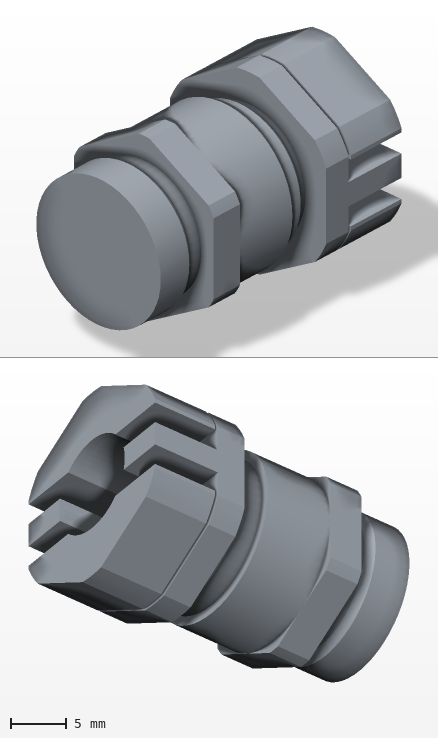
import cadquery as cq
import math

length = 29.9
front_y = -length / 2

front_thread_length = 3.8
chamfer_length = 0.75
front_neck_length = 1.5
hex_length = 3.5
sleeve_length = 6.97
rear_thread_length = 2.1
rear_neck_length = 0.55
nut_plate_length = 3.0
jaw_gap = 0.3

thread_radius = 7.55
neck_radius = 6.95
hex_sides = 6
hex_width = 16.95
hex_corner_diameter = 18.9
sleeve_radius = hex_width / 2
nut_width = 19.0
nut_corner_diameter = 20.5

clamp_bore_radius = 4.93
tab_thickness = 2.5
jaw_separation = 6.88

hex_y = front_y + front_thread_length + chamfer_length + front_neck_length
sleeve_y = hex_y + hex_length
rear_spigot_y = sleeve_y + sleeve_length
nut_y = rear_spigot_y + rear_thread_length + chamfer_length + rear_neck_length
clamp_y = nut_y + nut_plate_length
rear_y = length / 2


def cylinder(radius, start, end):
    """Cylinder on the Y axis between two positions."""
    plane = cq.Workplane("XZ", origin=(0, start, 0))
    return plane.circle(radius).extrude(start - end)


def rounded_hexagon(width, corner_diameter, start, end):
    """Hexagonal prism with flats facing X and corners turned to a diameter."""
    vertex_diameter = width / math.cos(math.pi / hex_sides)
    prism = (
        cq.Workplane("XZ", origin=(0, start, 0))
        .transformed(rotate=(0, 0, 180 / hex_sides))
        .polygon(hex_sides, vertex_diameter)
        .extrude(start - end)
    )
    return prism.intersect(cylinder(corner_diameter / 2, start, end))


def spigot(start, thread_length, neck_length):
    """Thread cylinder that tapers to a neck along +Y."""
    thread_end = start + thread_length
    neck_start = thread_end + chamfer_length
    neck_end = neck_start + neck_length
    profile = [
        (0, start),
        (thread_radius, start),
        (thread_radius, thread_end),
        (neck_radius, neck_start),
        (neck_radius, neck_end),
        (0, neck_end),
    ]
    return cq.Workplane("XY").polyline(profile).close().revolve(360, (0, 0), (0, 1))


def clamp_ring(start):
    """Bored hexagonal ring from which the nut tabs and the jaws are cut."""
    ring = rounded_hexagon(nut_width, nut_corner_diameter, start, rear_y)
    return ring.cut(cylinder(clamp_bore_radius, start, rear_y))


def make_front_fitting():
    """Hexagon with the front spigot in one piece."""
    hexagon = rounded_hexagon(hex_width, hex_corner_diameter, hex_y, sleeve_y)
    return hexagon.union(spigot(front_y, front_thread_length, front_neck_length))


def make_sleeve():
    """Plain round sleeve behind the hexagon."""
    return cylinder(sleeve_radius, sleeve_y, rear_spigot_y)


def make_rear_spigot():
    """Threaded spigot between the sleeve and the clamping nut."""
    return spigot(rear_spigot_y, rear_thread_length, rear_neck_length)


def make_clamping_nut():
    """Hexagonal plate with two tabs that reach back between the jaws."""
    plate = rounded_hexagon(nut_width, nut_corner_diameter, nut_y, clamp_y)
    tab_slab = cq.Workplane("XY").box(nut_width, 2 * length, tab_thickness)
    tabs = clamp_ring(clamp_y).intersect(tab_slab)
    return plate.union(tabs)


def make_jaw(side):
    """Clamp jaw above (side = 1) or below (side = -1) the tabs."""
    jaw_block_height = nut_corner_diameter
    block_z = side * (jaw_separation + jaw_block_height) / 2
    block = cq.Workplane("XY").box(nut_width, 2 * length, jaw_block_height)
    return clamp_ring(clamp_y + jaw_gap).intersect(block.translate((0, 0, block_z)))


front_fitting = make_front_fitting()
sleeve = make_sleeve()
rear_spigot = make_rear_spigot()
clamping_nut = make_clamping_nut()
jaws = [make_jaw(side) for side in (1, -1)]

result = cq.Compound.makeCompound([
    front_fitting.solids().val(),
    sleeve.val(),
    rear_spigot.val(),
    clamping_nut.solids().val(),
    *[jaw.solids().val() for jaw in jaws],
])